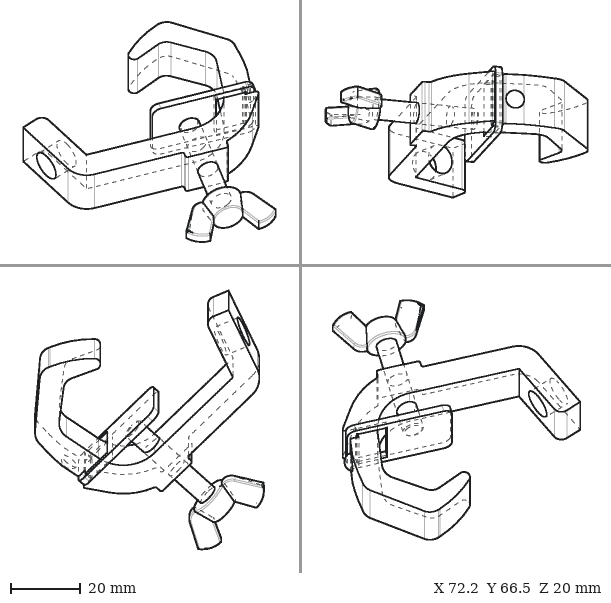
import cadquery as cq
import math




def on_circle(center, radius, degrees):
    """Point of a circle at an angle from +X."""
    angle = math.radians(degrees)
    return (center[0] + radius * math.cos(angle), center[1] + radius * math.sin(angle))


def crossing(point_a, degrees_a, point_b, degrees_b):
    """Point where two lines, each given by a point and a direction, cross."""
    ax, ay = math.cos(math.radians(degrees_a)), math.sin(math.radians(degrees_a))
    bx, by = math.cos(math.radians(degrees_b)), math.sin(math.radians(degrees_b))
    gap_x, gap_y = point_b[0] - point_a[0], point_b[1] - point_a[1]
    along = (gap_x * by - gap_y * bx) / (ax * by - ay * bx)
    return (point_a[0] + along * ax, point_a[1] + along * ay)



bolt_angle = -21.8
arm_angle = bolt_angle + 90
bolt_tip = (24.5, 41.3)
bolt_direction = (math.cos(math.radians(bolt_angle)), math.sin(math.radians(bolt_angle)), 0)
bolt_plane = cq.Plane(origin=(*bolt_tip, 0), xDir=bolt_direction, normal=(0, 0, 1))


def from_bolt(s, t):
    """XY point of a place given along and across the bolt."""
    point = bolt_plane.toWorldCoords((s, t, 0))
    return (point.x, point.y)


frame_width = 15.0
foot_thickness = 7.4
foot_end_radius = 2.6
foot_heel_radius = 7.1
foot_hole_x = 10.45
foot_hole_diameter = 8.6
arm_thickness = 7.7
jaw_center = (20.05, 42.05)
jaw_inner_radius = 12.3
jaw_outer_radius = 21.1
jaw_outer_end = 35.3
roof_angle = -30.0
neck_outer_distance = 20.35
pad_face = 17.7
pad_top = 6.3
pad_bottom = -6.6
pad_radius = 0.68
notch_left = -2.7
notch_right = 0.25
notch_bottom = 16.9
notch_rim_radius = 0.6
crown_arc_start_x = 24.3
crown_arc_middle = (20.05, 64.8)
crown_arc_end = (15.5, 66.15)
crown_top = (13.8, 66.5)
crown_left = (11.9, 66.1)
crown_inner_x = 13.93
crown_inner_radius = 5.0
hook_shoulder = (-5.08, 56.68)
hook_shoulder_radius = 4.0
hook_back_start = (-5.08, 53.8)
hook_back_middle = (-4.55, 48.6)
hook_tip_start = (-2.2, 41.2)
hook_tip_bottom = (-0.6, 40.1)
hook_tip_end = (1.15, 41.6)
hook_inner = (0.65, 51.7)
hook_inner_radius = 3.6

plate_thickness = 2.05
plate_length = 30.95
plate_width = 20.0
plate_top = 20.0
plate_corner_radius = 2.5
window_bar = 2.8
window_length = 9.0
window_width = 15.8

bolt_diameter = 6.0
bolt_tip_chamfer = 0.4
hub_start = 30.0
hub_end = 36.7
hub_start_radius = 6.0
hub_end_radius = 4.6
hub_edge_radius = 0.4
wing_thickness = 3.4
wing_edge_radius = 0.4
wing_root = (30.1, 5.8)
wing_shoulder_middle = (30.5, 8.0)
wing_shoulder_end = (31.75, 9.25)
wing_outer_corner = (39.2, 13.5)
wing_end_middle = (41.55, 10.8)
wing_inner_corner = (42.4, 7.25)
wing_inner_root = (36.6, 4.3)

dome_radius = 2.75
dome_sink = 0.72
dome_center_x = 26.4


neck_point = on_circle(jaw_center, neck_outer_distance, roof_angle + 90)
jaw_end = on_circle(jaw_center, jaw_inner_radius, bolt_angle)
jaw_start = on_circle(jaw_center, jaw_inner_radius, roof_angle + 90)
arm_outer_point = on_circle(jaw_center, jaw_inner_radius + arm_thickness, bolt_angle)


def neck_surface(x):
    """Point of the straight outer side of the neck at a given X."""
    return crossing(neck_point, roof_angle, (x, 0), 90)


def frame_body():
    heel = crossing((0, 0), 0, arm_outer_point, arm_angle)
    foot_inner = crossing((0, foot_thickness), 0, jaw_end, arm_angle)
    pad_lower_root = crossing(from_bolt(0, pad_bottom), bolt_angle, arm_outer_point, arm_angle)
    pad_lower_corner = from_bolt(pad_face, pad_bottom)
    pad_upper_corner = from_bolt(pad_face, pad_top)
    jaw_center_t = bolt_plane.toLocalCoords(cq.Vector(*jaw_center)).y
    outer_start_angle = bolt_angle + math.degrees(math.asin((pad_top - jaw_center_t) / jaw_outer_radius))
    pad_upper_root = on_circle(jaw_center, jaw_outer_radius, outer_start_angle)
    outer_end = on_circle(jaw_center, jaw_outer_radius, jaw_outer_end)
    notch_rim_right = crossing(outer_end, jaw_outer_end + 90, from_bolt(notch_right, 0), arm_angle)
    notch_rim_left = crossing(neck_point, roof_angle, from_bolt(notch_left, 0), arm_angle)
    crown_inner = crossing(jaw_start, roof_angle, (crown_inner_x, 0), 90)

    outline = (
        cq.Workplane("XY", origin=(0, 0, -frame_width / 2))
        .moveTo(0, 0)
        .lineTo(*heel)
        .lineTo(*pad_lower_root)
        .lineTo(*pad_lower_corner)
        .lineTo(*pad_upper_corner)
        .lineTo(*pad_upper_root)
        .threePointArc(
            on_circle(jaw_center, jaw_outer_radius, (outer_start_angle + jaw_outer_end) / 2), outer_end
        )
        .lineTo(*notch_rim_right)
        .lineTo(*from_bolt(notch_right, notch_bottom))
        .lineTo(*from_bolt(notch_left, notch_bottom))
        .lineTo(*notch_rim_left)
        .lineTo(*neck_surface(crown_arc_start_x))
        .threePointArc(crown_arc_middle, crown_arc_end)
        .threePointArc(crown_top, crown_left)
        .lineTo(*hook_shoulder)
        .lineTo(*hook_back_start)
        .threePointArc(hook_back_middle, hook_tip_start)
        .threePointArc(hook_tip_bottom, hook_tip_end)
        .lineTo(*hook_inner)
        .lineTo(*crown_inner)
        .lineTo(*jaw_start)
        .threePointArc(
            on_circle(jaw_center, jaw_inner_radius, (roof_angle + 90 + bolt_angle) / 2), jaw_end
        )
        .lineTo(*foot_inner)
        .lineTo(0, foot_thickness)
        .close()
    )
    frame = outline.extrude(frame_width)

    rounded_corners = [
        (heel, foot_heel_radius),
        ((0, foot_thickness), foot_end_radius),
        (pad_lower_root, pad_radius),
        (pad_lower_corner, pad_radius),
        (pad_upper_corner, pad_radius),
        (pad_upper_root, pad_radius),
        (notch_rim_right, notch_rim_radius),
        (notch_rim_left, notch_rim_radius),
        (hook_shoulder, hook_shoulder_radius),
        (hook_inner, hook_inner_radius),
        (crown_inner, crown_inner_radius),
    ]
    for corner, radius in rounded_corners:
        edge = cq.selectors.NearestToPointSelector((*corner, 0))
        frame = frame.edges("|Z").edges(edge).fillet(radius)

    foot_hole = (
        cq.Workplane("XZ")
        .center(foot_hole_x, 0)
        .circle(foot_hole_diameter / 2)
        .extrude(-foot_thickness)
    )
    bolt_hole = along_bolt(0).circle(bolt_diameter / 2).extrude(hub_start)
    return frame.cut(foot_hole).cut(bolt_hole)




def along_bolt(s):
    """Workplane square to the bolt axis at a distance from the tip."""
    return cq.Workplane(cq.Plane(origin=(*from_bolt(s, 0), 0), xDir=(0, 0, 1), normal=bolt_direction))


def wing(side):
    """One wing; side is +1 or -1 across the bolt."""

    def place(point):
        return (point[0], side * point[1])

    outline = (
        cq.Workplane(bolt_plane)
        .workplane(offset=-wing_thickness / 2)
        .moveTo(hub_start, 0)
        .lineTo(*place(wing_root))
        .threePointArc(place(wing_shoulder_middle), place(wing_shoulder_end))
        .lineTo(*place(wing_outer_corner))
        .threePointArc(place(wing_end_middle), place(wing_inner_corner))
        .lineTo(*place(wing_inner_root))
        .lineTo(hub_end, 0)
        .close()
    )
    return outline.extrude(wing_thickness).faces("<Z or >Z").edges().fillet(wing_edge_radius)


def wing_bolt_body():
    shaft = along_bolt(0).circle(bolt_diameter / 2).extrude(hub_start).faces("<X").chamfer(bolt_tip_chamfer)
    hub = (
        along_bolt(hub_start)
        .circle(hub_start_radius)
        .workplane(offset=hub_end - hub_start)
        .circle(hub_end_radius)
        .loft()
        .edges("%CIRCLE")
        .fillet(hub_edge_radius)
    )
    bolt = shaft.union(hub)
    for side in (1, -1):
        bolt = bolt.union(wing(side))
    return bolt




def plate_body():
    plate_middle = plate_top - plate_length / 2
    window_middle = plate_top - window_bar - window_length / 2
    plate = (
        cq.Workplane(bolt_plane)
        .center(-plate_thickness / 2, plate_middle)
        .box(plate_thickness, plate_length, plate_width)
        .edges(cq.selectors.ParallelDirSelector(bolt_plane.xDir))
        .fillet(plate_corner_radius)
    )
    window = (
        cq.Workplane(bolt_plane)
        .center(-plate_thickness / 2, window_middle)
        .box(plate_thickness, window_length, window_width)
    )
    return plate.cut(window)




def stop_body():
    """Flat-bottomed dome resting on the outer side of the neck."""
    outward = (math.cos(math.radians(roof_angle + 90)), math.sin(math.radians(roof_angle + 90)), 0)
    seat = cq.Plane(origin=(*neck_surface(dome_center_x), 0), xDir=(0, 0, 1), normal=outward)
    ball = cq.Workplane(seat).workplane(offset=-dome_sink).sphere(dome_radius)
    above_seat = cq.Workplane(seat).circle(dome_radius).extrude(dome_radius)
    return ball.intersect(above_seat)



frame = frame_body()
plate = plate_body()
wing_bolt = wing_bolt_body()
stop = stop_body()

result = cq.Compound.makeCompound([frame.val(), plate.val(), wing_bolt.val(), stop.val()])